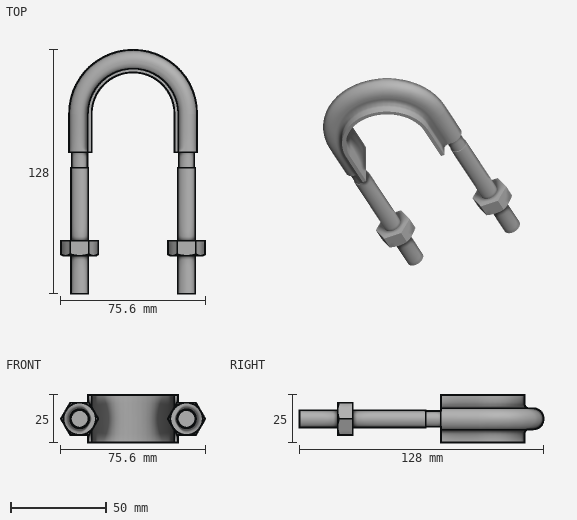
import cadquery as cq
import math

LEG_SPACING = 56.0
BEND_RADIUS = LEG_SPACING / 2
NECK_DIAMETER = 8.38
THREAD_DIAMETER = 9.2
NECK_LENGTH = 8.0

SLEEVE_HEIGHT = 25.0
BAND_THICKNESS = 2.0
BAND_INNER_RADIUS = 21.65
BAND_OUTER_RADIUS = BAND_INNER_RADIUS + BAND_THICKNESS
BEAD_RADIUS = 5.6
BEAD_FILLET = 2.0
SLEEVE_LEG_LENGTH = 20.25

OVERALL_LENGTH = 128.0
LEG_END = OVERALL_LENGTH - (BEND_RADIUS + BEAD_RADIUS)
THREAD_START = SLEEVE_LEG_LENGTH + NECK_LENGTH

NUT_ACROSS_CORNERS = 19.6
NUT_ACROSS_FLATS = NUT_ACROSS_CORNERS * math.cos(math.radians(30))
NUT_HEIGHT = 8.0
NUT_END_GAP = 20.0
NUT_FACE_DIAMETER = 16.9
NUT_CHAMFER_ANGLE = 30.0
COUNTERSINK_DIAMETER = 10.0

SIDES = (-1, 1)


def rod_along_y(x, diameter, y_low, y_high):
    """Round bar parallel to Y between two Y positions."""
    bar = cq.Workplane("XZ", origin=(x, y_high, 0)).circle(diameter / 2)
    return bar.extrude(y_high - y_low)


def make_u_rod():
    """Plain bent rod with the thinner neck diameter."""
    section = cq.Workplane("XZ").center(BEND_RADIUS, 0).circle(NECK_DIAMETER / 2)
    rod = section.revolve(180, (-BEND_RADIUS, 0), (-BEND_RADIUS, 1))
    for side in SIDES:
        rod = rod.union(rod_along_y(side * BEND_RADIUS, NECK_DIAMETER, -THREAD_START, 0))
    return rod


def make_u_bolt():
    """Bent rod with a thicker threaded length at the end of each leg."""
    bolt = make_u_rod()
    for side in SIDES:
        bolt = bolt.union(rod_along_y(side * BEND_RADIUS, THREAD_DIAMETER, -LEG_END, -THREAD_START))
    return bolt


def sleeve_section():
    """Outline of the band and bead on the +X leg, without the rod hole."""
    half_height = SLEEVE_HEIGHT / 2
    fillet_end_x = BAND_OUTER_RADIUS + BEAD_FILLET
    fillet_end_z = BEAD_RADIUS + BEAD_FILLET
    fillet_mid_x = BAND_OUTER_RADIUS + BEAD_FILLET * (1 - math.sqrt(0.5))
    fillet_mid_z = BEAD_RADIUS + BEAD_FILLET * (1 - math.sqrt(0.5))
    return (
        cq.Workplane("XZ")
        .moveTo(BAND_INNER_RADIUS, -half_height)
        .lineTo(BAND_OUTER_RADIUS, -half_height)
        .lineTo(BAND_OUTER_RADIUS, -fillet_end_z)
        .threePointArc((fillet_mid_x, -fillet_mid_z), (fillet_end_x, -BEAD_RADIUS))
        .lineTo(BEND_RADIUS, -BEAD_RADIUS)
        .threePointArc((BEND_RADIUS + BEAD_RADIUS, 0), (BEND_RADIUS, BEAD_RADIUS))
        .lineTo(fillet_end_x, BEAD_RADIUS)
        .threePointArc((fillet_mid_x, fillet_mid_z), (BAND_OUTER_RADIUS, fillet_end_z))
        .lineTo(BAND_OUTER_RADIUS, half_height)
        .lineTo(BAND_INNER_RADIUS, half_height)
        .close()
    )


def make_sleeve():
    """Sleeve section carried round the bend and down both legs, bored for the rod."""
    bend = sleeve_section().revolve(180, (0, 0), (0, 1))
    leg = sleeve_section().extrude(SLEEVE_LEG_LENGTH)
    sleeve = bend.union(leg).union(leg.mirror("YZ"))
    return sleeve.cut(make_u_rod())


def make_nut(x):
    """Hexagon nut on one leg, chamfered and countersunk on its outer face."""
    face_y = -LEG_END + NUT_END_GAP
    nut_plane = cq.Workplane("XZ", origin=(x, face_y + NUT_HEIGHT, 0))
    blank = nut_plane.polygon(6, NUT_ACROSS_CORNERS).extrude(NUT_HEIGHT)

    corner_radius = NUT_ACROSS_CORNERS / 2
    face_radius = NUT_FACE_DIAMETER / 2
    chamfer_depth = (corner_radius - face_radius) * math.tan(math.radians(NUT_CHAMFER_ANGLE))
    chamfer_envelope = (
        cq.Workplane("XY", origin=(x, face_y, 0))
        .polyline([
            (0, 0),
            (face_radius, 0),
            (corner_radius, chamfer_depth),
            (corner_radius, NUT_HEIGHT),
            (0, NUT_HEIGHT),
        ])
        .close()
        .revolve(360, (0, 0), (0, 1))
    )

    bore_radius = THREAD_DIAMETER / 2
    countersink_radius = COUNTERSINK_DIAMETER / 2
    bore = (
        cq.Workplane("XY", origin=(x, face_y, 0))
        .polyline([
            (0, 0),
            (countersink_radius, 0),
            (bore_radius, countersink_radius - bore_radius),
            (bore_radius, NUT_HEIGHT),
            (0, NUT_HEIGHT),
        ])
        .close()
        .revolve(360, (0, 0), (0, 1))
    )
    return blank.intersect(chamfer_envelope).cut(bore)


u_bolt = make_u_bolt()
sleeve = make_sleeve()
nuts = [make_nut(side * BEND_RADIUS) for side in SIDES]

result = cq.Compound.makeCompound([u_bolt.val(), sleeve.val(), *[nut.val() for nut in nuts]])